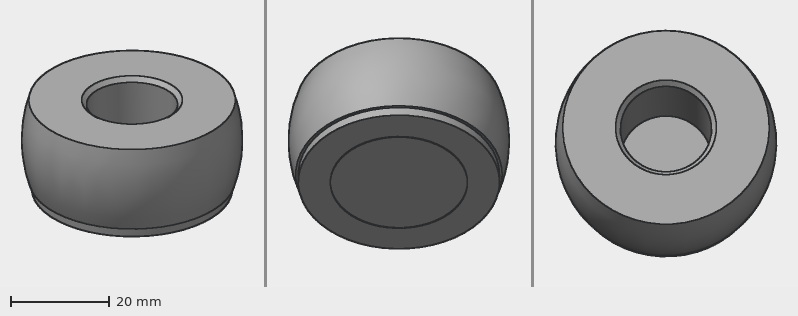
import cadquery as cq

barrel_max_radius = 22.5
barrel_end_radius = 21.0
barrel_height = 18.45
foot_radius = 20.45
foot_height = 2.05
pad_radius = 13.95
pad_height = 0.2
bore_radius = 9.25
bore_depth = barrel_height
bore_chamfer = 1.0

foot_bottom = pad_height
barrel_bottom = foot_bottom + foot_height
barrel_middle = barrel_bottom + barrel_height / 2
barrel_top = barrel_bottom + barrel_height
bore_floor = barrel_top - bore_depth


def make_body():
    """Revolve the pad, foot and crowned barrel as one solid."""
    half_profile = (
        cq.Workplane("XZ")
        .moveTo(0, 0)
        .lineTo(pad_radius, 0)
        .lineTo(pad_radius, foot_bottom)
        .lineTo(foot_radius, foot_bottom)
        .lineTo(foot_radius, barrel_bottom)
        .lineTo(barrel_end_radius, barrel_bottom)
        .threePointArc((barrel_max_radius, barrel_middle), (barrel_end_radius, barrel_top))
        .lineTo(0, barrel_top)
        .close()
    )
    return half_profile.revolve(360, (0, 0, 0), (0, 1, 0))


def make_bore():
    """Revolve the blind bore with its chamfered mouth."""
    half_profile = (
        cq.Workplane("XZ")
        .moveTo(0, bore_floor)
        .lineTo(bore_radius, bore_floor)
        .lineTo(bore_radius, barrel_top - bore_chamfer)
        .lineTo(bore_radius + bore_chamfer, barrel_top)
        .lineTo(0, barrel_top)
        .close()
    )
    return half_profile.revolve(360, (0, 0, 0), (0, 1, 0))


result = make_body().cut(make_bore())